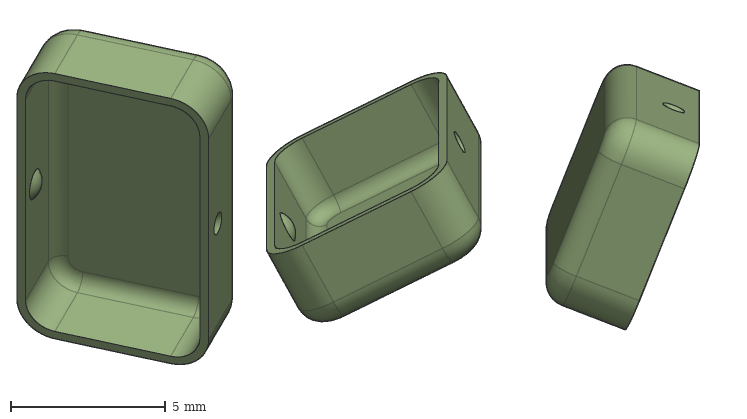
import cadquery as cq
import math

width = 6.6
depth = 3.0
height = 10.8

wall = 0.3
corner_radius = 1.31
floor_edge_radius = 0.8

dimple_mouth_radius = 0.38
dimple_offset = 0.25
dimple_from_rim = 0.9
dimple_radius = math.hypot(dimple_mouth_radius, dimple_offset)
bump_radius = dimple_radius + wall

rim_y = -depth / 2


def rounded_block(inset):
    """Block with rounded corners and floor edge, inset from the outer walls and floor."""
    return (
        cq.Workplane("XZ", origin=(0, rim_y, 0))
        .rect(width - 2 * inset, height - 2 * inset)
        .extrude(-(depth - inset))
        .edges("|Y")
        .fillet(corner_radius - inset)
        .faces(">Y")
        .edges()
        .fillet(floor_edge_radius - inset)
    )


def dimple_sphere(side, radius):
    """Sphere centred just outside the wall on the given X side."""
    centre_x = side * (width / 2 + dimple_offset)
    return cq.Workplane("YZ").sphere(radius).translate((centre_x, rim_y + dimple_from_rim, 0))


body = rounded_block(0)
cavity = rounded_block(wall)

for side in (-1, 1):
    cavity = cavity.cut(dimple_sphere(side, bump_radius))
    body = body.cut(dimple_sphere(side, dimple_radius))

result = body.cut(cavity)